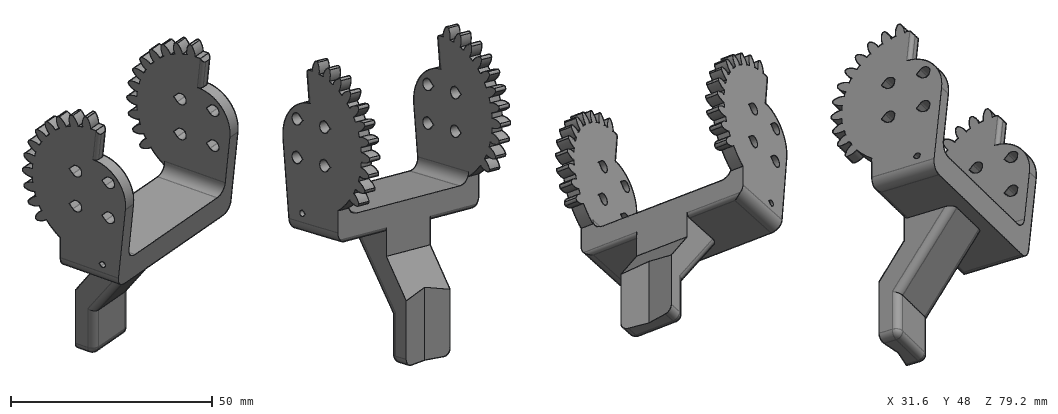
import cadquery as cq
import math

WIDTH = 48.0
PLATE_THICKNESS = 3.5
BEND_RADIUS = 3.0
FLOOR_TOP = -17.4
FLOOR_BOTTOM = -24.3
HUB_RADIUS = 10.0
BACK_X = -HUB_RADIUS
SIDE_TAPER = 6.0
LOWER_EDGE_RADIUS = 1.0

ROOT_RADIUS = 18.55
TIP_RADIUS = 21.55
TEETH_PER_TURN = 30
TOOTH_PITCH = 360 / TEETH_PER_TURN
TEETH_BELOW = 3
TEETH_ABOVE = 7
TOOTH_ROOT_HALF = 1.3
TOOTH_MID_HALF = 1.1
TOOTH_TIP_HALF = 0.5
TOOTH_MID_RADIUS = 20.05
TIP_CROWN = 0.15
END_EDGE_SIZE = 1.0

BOLT_HOLE_RADIUS = 1.6
BOLT_SPACING = HUB_RADIUS
PIN_HOLE_RADIUS = 0.8
PIN_X = 3.0
PIN_Z = -19.0

HANDLE_WIDTH = 15.0
HANDLE_BACK_X = -17.2
HANDLE_FRONT_X = -11.5
HANDLE_BOTTOM = -57.8
BACK_UPPER_KNEE = -30.7
BACK_LOWER_KNEE = -40.65
FRONT_KNEE = -45.3
FRONT_TOP_X = 4.0
CORNER_RADIUS = 2.0
FRONT_RADIUS = 1.9
GROOVE_DEPTH = 1.3

INNER_WIDTH = WIDTH - 2 * PLATE_THICKNESS
taper = math.radians(SIDE_TAPER)


def taper_x(z):
    """X of the slanted side, which is tangent to the hub circle, at height z."""
    return HUB_RADIUS / math.cos(taper) + z * math.tan(taper)


def side_extrude(outline, thickness):
    """Extrude an XZ outline symmetrically about Y = 0."""
    return outline.extrude(thickness / 2, both=True)


def web_outline():
    """Hub arc, tangent slanted side and straight back, down to the bottom of the floor."""
    tangent = (HUB_RADIUS * math.cos(taper), -HUB_RADIUS * math.sin(taper))
    return (
        cq.Workplane("XZ")
        .moveTo(BACK_X, 0)
        .threePointArc((0, HUB_RADIUS), tangent)
        .lineTo(taper_x(FLOOR_BOTTOM), FLOOR_BOTTOM)
        .lineTo(BACK_X, FLOOR_BOTTOM)
        .close()
    )


def tooth(index):
    """One gear tooth; index 0 points along -X and higher indices turn towards +Z."""
    shoulder = TIP_RADIUS - TIP_CROWN
    base = ROOT_RADIUS - TOOTH_ROOT_HALF
    outline = (
        cq.Workplane("XZ")
        .moveTo(-base, TOOTH_ROOT_HALF)
        .lineTo(-ROOT_RADIUS, TOOTH_ROOT_HALF)
        .threePointArc((-TOOTH_MID_RADIUS, TOOTH_MID_HALF), (-shoulder, TOOTH_TIP_HALF))
        .threePointArc((-TIP_RADIUS, 0), (-shoulder, -TOOTH_TIP_HALF))
        .threePointArc((-TOOTH_MID_RADIUS, -TOOTH_MID_HALF), (-ROOT_RADIUS, -TOOTH_ROOT_HALF))
        .lineTo(-base, -TOOTH_ROOT_HALF)
        .close()
    )
    return side_extrude(outline, PLATE_THICKNESS).rotate((0, 0, 0), (0, 1, 0), index * TOOTH_PITCH)


def gear_sector():
    """Toothed half disc whose straight end edge is chamfered at the top and rounded on both faces."""
    half_disc = (
        cq.Workplane("XZ")
        .moveTo(0, ROOT_RADIUS)
        .threePointArc((-ROOT_RADIUS, 0), (0, -ROOT_RADIUS))
        .close()
    )
    sector = side_extrude(half_disc, PLATE_THICKNESS)
    sector = sector.edges("|Y and >Z").chamfer(END_EDGE_SIZE)
    sector = sector.faces(">X").edges("|Z").fillet(END_EDGE_SIZE)
    sector = sector.rotate((0, 0, 0), (0, 1, 0), SIDE_TAPER)
    for index in range(-TEETH_BELOW, TEETH_ABOVE + 1):
        sector = sector.union(tooth(index))
    return sector


def teardrop(x, z, radius):
    """Hole along Y with a pointed side towards -X, tangent at 45 degrees."""
    reach = radius * math.sqrt(2)
    offset = radius / math.sqrt(2)
    outline = (
        cq.Workplane("XZ")
        .moveTo(x - reach, z)
        .lineTo(x - offset, z + offset)
        .threePointArc((x + radius, z), (x - offset, z - offset))
        .close()
    )
    return side_extrude(outline, 2 * WIDTH)


def u_frame():
    """Two side plates joined by a floor: the side outline crossed with a U-shaped bend section."""
    side_form = side_extrude(web_outline(), WIDTH)
    lower_back_edge = cq.selectors.NearestToPointSelector((BACK_X, 0, FLOOR_BOTTOM))
    side_form = side_form.edges(lower_back_edge).fillet(LOWER_EDGE_RADIUS)
    height = HUB_RADIUS - FLOOR_BOTTOM
    length = 4 * HUB_RADIUS
    bend_form = cq.Workplane("XY").box(length, WIDTH, height, centered=(True, True, False))
    bend_form = bend_form.edges("|X and <Z").fillet(BEND_RADIUS).translate((0, 0, FLOOR_BOTTOM))
    channel = cq.Workplane("XY").box(length, INNER_WIDTH, height, centered=(True, True, False))
    channel = channel.edges("|X and <Z").fillet(BEND_RADIUS).translate((0, 0, FLOOR_TOP))
    return side_form.intersect(bend_form.cut(channel))


def handle_grip():
    """Upright lower run of the handle with rounded bottom corners and front rim."""
    depth = HANDLE_FRONT_X - HANDLE_BACK_X
    height = BACK_LOWER_KNEE - HANDLE_BOTTOM
    grip = cq.Workplane("XY").box(depth, HANDLE_WIDTH, height, centered=(False, True, False))
    grip = grip.edges("|X and <Z").fillet(CORNER_RADIUS)
    grip = grip.faces(">X").edges("not >Z").fillet(FRONT_RADIUS)
    return grip.translate((HANDLE_BACK_X, 0, HANDLE_BOTTOM))


def handle_arm():
    """Slanted upper run of the handle; its front plane is carried on into the grip."""
    front_run = (FRONT_TOP_X - HANDLE_FRONT_X) / (FLOOR_BOTTOM - FRONT_KNEE)
    root_z = (FLOOR_TOP + FLOOR_BOTTOM) / 2
    root_x = FRONT_TOP_X + front_run * (root_z - FLOOR_BOTTOM)
    toe_z = FRONT_KNEE - (HANDLE_FRONT_X - HANDLE_BACK_X) / front_run
    outline = (
        cq.Workplane("XZ")
        .moveTo(BACK_X, root_z)
        .lineTo(BACK_X, BACK_UPPER_KNEE)
        .lineTo(HANDLE_BACK_X, BACK_LOWER_KNEE)
        .lineTo(HANDLE_BACK_X, toe_z)
        .lineTo(root_x, root_z)
        .close()
    )
    arm = side_extrude(outline, HANDLE_WIDTH)
    outward = cq.Vector(root_z - toe_z, 0, HANDLE_BACK_X - root_x)
    front_face = arm.faces(cq.selectors.DirectionMinMaxSelector(outward))
    return front_face.edges("not |Y").fillet(FRONT_RADIUS)


def handle():
    """Cranked handle hanging from the floor, V-grooved along its lower back face."""
    body = handle_arm().union(handle_grip())
    groove_x = HANDLE_BACK_X + GROOVE_DEPTH
    half = HANDLE_WIDTH / 2
    groove = (
        cq.Workplane("XY", origin=(0, 0, HANDLE_BOTTOM))
        .polyline([(HANDLE_BACK_X, -half), (groove_x, 0), (HANDLE_BACK_X, half)])
        .close()
        .extrude(BACK_UPPER_KNEE - HANDLE_BOTTOM)
    )
    return body.cut(groove)


result = u_frame()
sector = gear_sector()
plate_y = (WIDTH - PLATE_THICKNESS) / 2
for side in (-1, 1):
    result = result.union(sector.translate((0, side * plate_y, 0)))
result = result.union(handle())

for x in (-BOLT_SPACING / 2, BOLT_SPACING / 2):
    for z in (-BOLT_SPACING / 2, BOLT_SPACING / 2):
        result = result.cut(teardrop(x, z, BOLT_HOLE_RADIUS))
result = result.cut(teardrop(PIN_X, PIN_Z, PIN_HOLE_RADIUS))